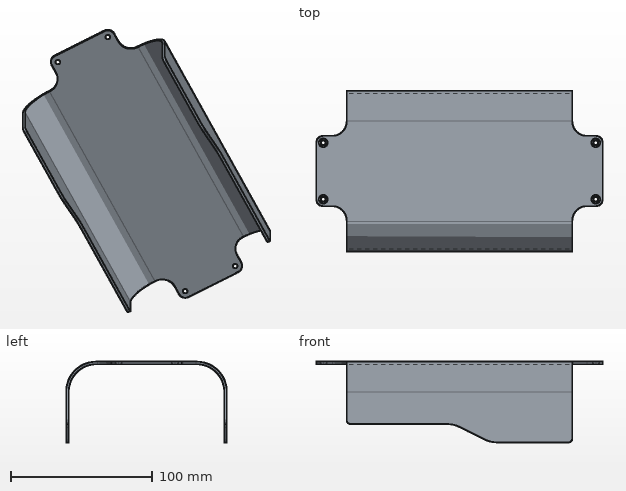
import cadquery as cq

overall_length = 203.0
overall_width = 114.0
overall_height = 57.4
thickness = 2.0

bend_outer_radius = 21.5
bend_inner_radius = bend_outer_radius - thickness

body_length = 160.0
tab_width = 50.0
tab_corner_radius = 5.0
tab_root_radius = 10.0

hole_diameter = 3.2
countersink_diameter = 6.2
countersink_angle = 90.0
hole_spacing_x = overall_length - 2 * tab_corner_radius
hole_spacing_y = tab_width - 2 * tab_corner_radius

shallow_height = 44.4
ramp_start_x = -4.0
ramp_end_x = 22.0
ramp_bend_radius = 20.0
wall_corner_radius = 3.0

half_body = body_length / 2
wall_bottom_z = -overall_height
shallow_bottom_z = -shallow_height


def make_arch(width, top_z, bend_radius):
    """Solid bar along X with its two upper long edges rounded."""
    height = top_z - wall_bottom_z
    return (
        cq.Workplane("XY", origin=(0, 0, wall_bottom_z))
        .box(body_length, width, height, centered=(True, True, False))
        .edges("|X and >Z")
        .fillet(bend_radius)
    )


def make_channel():
    """Sheet channel of constant thickness, open downwards and at both ends."""
    outer = make_arch(overall_width, 0, bend_outer_radius)
    inner = make_arch(overall_width - 2 * thickness, -thickness, bend_inner_radius)
    return outer.cut(inner)


def make_wall_outline():
    """Side silhouette extruded across the full width, with rounded lower corners."""
    outline = (
        cq.Workplane("XZ")
        .moveTo(-half_body, 0)
        .lineTo(-half_body, shallow_bottom_z)
        .lineTo(ramp_start_x, shallow_bottom_z)
        .lineTo(ramp_end_x, wall_bottom_z)
        .lineTo(half_body, wall_bottom_z)
        .lineTo(half_body, 0)
        .close()
        .extrude(overall_width / 2, both=True)
    )

    def edge_at(x, z):
        return cq.selectors.NearestToPointSelector((x, 0, z))

    for x, z in ((ramp_start_x, shallow_bottom_z), (ramp_end_x, wall_bottom_z)):
        outline = outline.edges("|Y").edges(edge_at(x, z)).fillet(ramp_bend_radius)
    for x, z in ((-half_body, shallow_bottom_z), (half_body, wall_bottom_z)):
        outline = outline.edges("|Y").edges(edge_at(x, z)).fillet(wall_corner_radius)
    return outline


def make_tab_plate():
    """Flat plate forming both tabs, flared at the roots to meet the bends."""
    flare_length = body_length + 2 * tab_root_radius
    flare_width = tab_width + 2 * tab_root_radius
    strip = (
        cq.Workplane("XY")
        .rect(overall_length, tab_width)
        .extrude(-thickness)
        .edges("|Z")
        .fillet(tab_corner_radius)
    )
    flare = (
        cq.Workplane("XY")
        .rect(flare_length, flare_width)
        .extrude(-thickness)
    )
    root_rounds = (
        cq.Workplane("XY")
        .rect(flare_length, flare_width, forConstruction=True)
        .vertices()
        .circle(tab_root_radius)
        .extrude(-thickness)
    )
    return strip.union(flare.cut(root_rounds))


def drill_holes(body):
    """Countersunk holes at the four tab corners."""
    return (
        body.faces(">Z")
        .workplane(origin=(0, 0, 0))
        .rect(hole_spacing_x, hole_spacing_y, forConstruction=True)
        .vertices()
        .cskHole(hole_diameter, countersink_diameter, countersink_angle)
    )


channel = make_channel().intersect(make_wall_outline())
cover = channel.union(make_tab_plate())
result = drill_holes(cover)